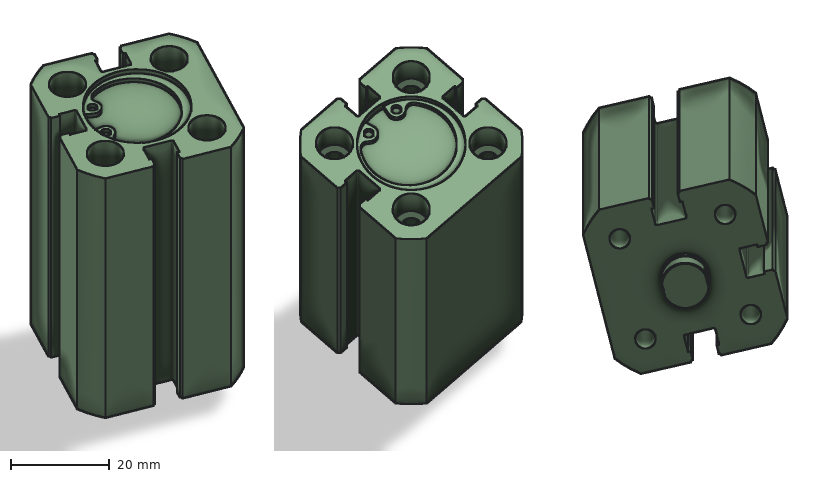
import cadquery as cq
import math

TOTAL_HEIGHT = 72.0
ROD_STICKOUT = 6.0

HOUSING_WIDTH = 36.0
CORNER_RADIUS = 22.5

SLOT_MOUTH_WIDTH = 5.4
SLOT_INNER_WIDTH = 6.5
SLOT_LIP = 2.3
SLOT_DEPTH = 6.0
SLOT_MOUTH_RADIUS = 0.4
SLOT_FLOOR_RADIUS = 0.35
SLOT_ANGLES = (-90, 0, 90)

BOLT_SPACING = 21.95
BOLT_HOLE_DIAMETER = 4.1
COUNTERBORE_DIAMETER = 7.5
COUNTERBORE_DEPTH = 7.0

BORE_DIAMETER = 21.95
RING_SETBACK = 1.15
RING_THICKNESS = 1.0
COVER_THICKNESS = 5.75

RING_INNER_DIAMETER = 19.5
RING_INNER_OFFSET = 0.8
LUG_X = 3.95
LUG_Y = -8.2
LUG_RADIUS = 1.9
LUG_HOLE_DIAMETER = 2.0
LUG_BLEND_RADIUS = 1.6

ROD_DIAMETER = 10.0
ROD_COLLAR = 1.6
ROD_TIP_DIAMETER = 9.7
FLAT_WIDTH = 9.0
ROD_CHAMFER = 0.15

HOUSING_BOTTOM = ROD_STICKOUT
RING_TOP = TOTAL_HEIGHT - RING_SETBACK
COVER_TOP = RING_TOP - RING_THICKNESS
COVER_BOTTOM = COVER_TOP - COVER_THICKNESS
COLLAR_BOTTOM = HOUSING_BOTTOM - ROD_COLLAR


def cylinder(diameter, bottom, top):
    return cq.Workplane("XY").workplane(offset=bottom).circle(diameter / 2).extrude(top - bottom)


def make_slot():
    """T-slot cutter along the -Y face, full housing height."""
    face = -HOUSING_WIDTH / 2
    mouth = SLOT_MOUTH_WIDTH / 2
    inner = SLOT_INNER_WIDTH / 2
    lip = face + SLOT_LIP
    floor = face + SLOT_DEPTH
    slot = (
        cq.Workplane("XY")
        .workplane(offset=HOUSING_BOTTOM)
        .moveTo(mouth + SLOT_MOUTH_RADIUS, face)
        .radiusArc((mouth, face + SLOT_MOUTH_RADIUS), -SLOT_MOUTH_RADIUS)
        .lineTo(mouth, lip)
        .lineTo(inner, lip)
        .lineTo(inner, floor)
        .lineTo(-inner, floor)
        .lineTo(-inner, lip)
        .lineTo(-mouth, lip)
        .lineTo(-mouth, face + SLOT_MOUTH_RADIUS)
        .radiusArc((-mouth - SLOT_MOUTH_RADIUS, face), -SLOT_MOUTH_RADIUS)
        .close()
        .extrude(TOTAL_HEIGHT - HOUSING_BOTTOM)
    )
    return slot.faces(">Y").edges("|Z").fillet(SLOT_FLOOR_RADIUS)


def make_housing():
    height = TOTAL_HEIGHT - HOUSING_BOTTOM
    housing = (
        cq.Workplane("XY")
        .workplane(offset=HOUSING_BOTTOM)
        .rect(HOUSING_WIDTH, HOUSING_WIDTH)
        .extrude(height)
        .intersect(cylinder(2 * CORNER_RADIUS, HOUSING_BOTTOM, TOTAL_HEIGHT))
    )
    slot = make_slot()
    for angle in SLOT_ANGLES:
        housing = housing.cut(slot.rotate((0, 0, 0), (0, 0, 1), angle))
    housing = (
        housing.faces(">Z")
        .workplane(origin=(0, 0, TOTAL_HEIGHT))
        .rect(BOLT_SPACING, BOLT_SPACING, forConstruction=True)
        .vertices()
        .cboreHole(BOLT_HOLE_DIAMETER, COUNTERBORE_DIAMETER, COUNTERBORE_DEPTH)
    )
    housing = housing.cut(cylinder(BORE_DIAMETER, COVER_BOTTOM, TOTAL_HEIGHT))
    return housing.cut(cylinder(ROD_DIAMETER, HOUSING_BOTTOM, COVER_BOTTOM))


def make_cover():
    return cylinder(BORE_DIAMETER, COVER_BOTTOM, COVER_TOP)


def lug_blend_centre():
    """Centre of the arc tangent to the ring opening from inside and to the +X lug from outside."""
    to_opening = RING_INNER_DIAMETER / 2 - LUG_BLEND_RADIUS
    to_lug = LUG_RADIUS + LUG_BLEND_RADIUS
    dx = LUG_X
    dy = LUG_Y + RING_INNER_OFFSET
    distance = math.hypot(dx, dy)
    along = (to_opening**2 - to_lug**2 + distance**2) / (2 * distance)
    across = math.sqrt(to_opening**2 - along**2)
    x = (along * dx - across * dy) / distance
    y = (along * dy + across * dx) / distance - RING_INNER_OFFSET
    return x, y


def point_toward(start, target, reach):
    """Point at the given reach from start, in the direction of target."""
    distance = math.dist(start, target)
    x = start[0] + (target[0] - start[0]) * reach / distance
    y = start[1] + (target[1] - start[1]) * reach / distance
    return x, y


def mirrored(point):
    """The point on the other side of the YZ plane."""
    return -point[0], point[1]


def make_retaining_ring():
    """Tapered open ring with an eyed lug at each end of its gap."""
    axis = (0, 0)
    lug = (LUG_X, LUG_Y)
    opening = (0, -RING_INNER_OFFSET)
    outer_radius = BORE_DIAMETER / 2
    inner_radius = RING_INNER_DIAMETER / 2
    blend = lug_blend_centre()

    lug_distance = math.dist(axis, lug)
    end_angle = math.atan2(LUG_X, -LUG_Y) - math.asin(LUG_RADIUS / lug_distance)
    end_direction = (math.sin(end_angle), -math.cos(end_angle))
    rim_end = point_toward(axis, end_direction, outer_radius)
    lug_touch = point_toward(axis, end_direction, math.sqrt(lug_distance**2 - LUG_RADIUS**2))

    lug_top = point_toward(lug, axis, LUG_RADIUS)
    lug_end = point_toward(lug, blend, LUG_RADIUS)
    blend_floor = (blend[0], blend[1] - LUG_BLEND_RADIUS)
    blend_end = point_toward(opening, blend, inner_radius)

    plane = cq.Workplane("XY").workplane(offset=COVER_TOP)
    ring = (
        plane.moveTo(*mirrored(rim_end))
        .threePointArc((0, outer_radius), rim_end)
        .lineTo(*lug_touch)
        .threePointArc(lug_top, lug_end)
        .threePointArc(blend_floor, blend_end)
        .threePointArc((0, inner_radius - RING_INNER_OFFSET), mirrored(blend_end))
        .threePointArc(mirrored(blend_floor), mirrored(lug_end))
        .threePointArc(mirrored(lug_top), mirrored(lug_touch))
        .close()
        .extrude(RING_THICKNESS)
    )
    eyes = plane.pushPoints([mirrored(lug), lug]).circle(LUG_HOLE_DIAMETER / 2).extrude(RING_THICKNESS)
    return ring.cut(eyes)


def make_rod():
    shank = cylinder(ROD_DIAMETER, COLLAR_BOTTOM, COVER_BOTTOM).faces("<Z").chamfer(ROD_CHAMFER)
    tip = cylinder(ROD_TIP_DIAMETER, 0, COLLAR_BOTTOM).faces("<Z").chamfer(ROD_CHAMFER)
    rod = shank.union(tip)
    shoulder = (ROD_DIAMETER - FLAT_WIDTH) / 2
    flat_cut = (
        cq.Workplane("YZ")
        .polyline([
            (-FLAT_WIDTH / 2, 0),
            (-FLAT_WIDTH / 2, COLLAR_BOTTOM - shoulder),
            (-ROD_DIAMETER / 2, COLLAR_BOTTOM),
            (-ROD_DIAMETER / 2, 0),
        ])
        .close()
        .extrude(ROD_DIAMETER / 2, both=True)
    )
    return rod.cut(flat_cut).cut(flat_cut.mirror("XZ"))


housing = make_housing()
cover = make_cover()
retaining_ring = make_retaining_ring()
rod = make_rod()

result = cq.Compound.makeCompound([housing.val(), cover.val(), retaining_ring.val(), rod.val()])